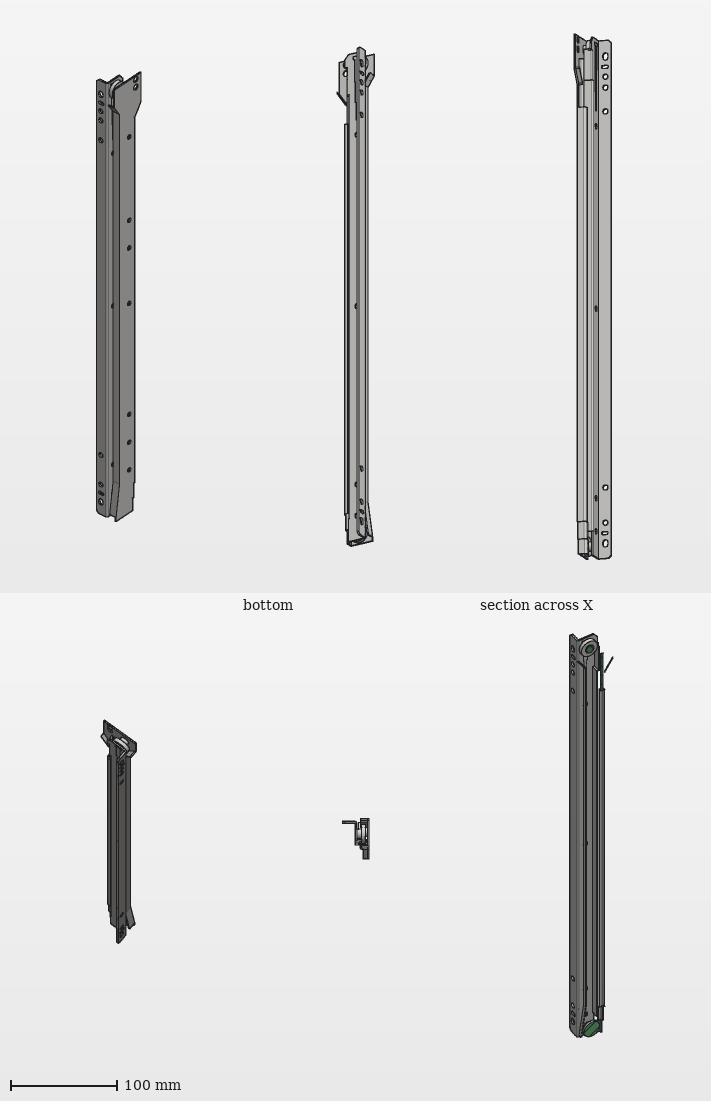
import cadquery as cq

LENGTH = 500.0
WIDTH = 25.0
BRACKET_TOP = 38.0
SHEET = 1.5

ROLLER_RADIUS = 9.0
FRONT_ROLLER_Y = 12.5
REAR_ROLLER_Y = 14.5
AXLE_RADIUS = 4.5
FRONT_ROLLER_Z = 490.0
REAR_ROLLER_Z = 10.0
FRONT_ROLLER_X = (15.0, 19.0)
REAR_ROLLER_X = (18.0, 21.5)

FLANGE_BOTTOM = 2.5
FLANGE_THICKNESS = 2.0
WEB_X = 12.0
FLANGE_BEND_RADIUS = 2.0
TRACK_BEND_RADIUS = 1.25
CORNER_CHAMFER = 2.5
TRACK_TOP = 21.0
TRACK_EDGE_X = 23.0
RAISED_TRACK_EDGE_X = 20.5
TRACK_REAR_Z = 23.5
TRACK_RAISE_Z = 460.0
TRACK_RAISE = 2.0
TRACK_FRONT_Z = 488.5
NOSE_TOP = 25.0
NOSE_FRONT_Z = 495.0
NOSE_EDGE_X = 15.5

FLANGE_HOLE_X = 5.5
FLANGE_HOLE_DIAMETER = 5.0
FLANGE_HOLE_Z = (465.0, 454.5, 431.5, 68.5, 34.5)
LONG_HOLE_LENGTH = 7.0
LONG_HOLE_Z = (484.5, 14.5)
CROSS_SLOT_X = 6.0
CROSS_SLOT_LENGTH = 6.5
CROSS_SLOT_WIDTH = 3.0
CROSS_SLOT_Z = (474.5, 24.5)

WEB_HOLE_DIAMETER = 5.0
WEB_HOLE_Y = 11.5
WEB_HOLE_Z = (416.0, 240.0, 57.0, 25.0)

GROOVE_DEPTH = 0.5
GROOVE_Y = 12.0
GROOVE_STEPS = ((431.0, 449.0, 1.5), (449.0, 470.5, 3.0), (470.5, 493.5, 4.5), (493.5, 496.5, 7.5))

CABINET_REAR_Z = 1.0
CABINET_BOTTOM = 7.0
FLOOR_EDGE_X = 17.0
FLOOR_FRONT_Z = 478.5
FLOOR_RAMP_Z = 468.0
REAR_SLOPE_Z = 41.5
FLOOR_REAR_Z = 5.5
REAR_DROP = 5.0

ROOF_TOP = 29.0
ROOF_EDGE_X = 16.5
ROOF_FRONT_Z = 431.5
ROOF_BEND_RADIUS = 2.0
LIP_HEIGHT = 4.5
ROOF_STEP = 1.5
ROOF_STEP_Z = (31.5, 15.0)
FRONT_ROOF_TOP = 28.0
FRONT_LIP_HEIGHT = 3.5
FRONT_ROOF_EDGE_X = 19.5
FRONT_ROOF_Z = 478.5

BRACKET_BOTTOM_Z = 466.5
BRACKET_FOOT_Z = 453.0
BRACKET_HOLE_DIAMETER = 6.0
BRACKET_HOLE_Y = 30.5
BRACKET_HOLE_Z = (496.0, 487.0)

CABINET_HOLE_DIAMETER = 4.5
CABINET_HOLE_Y = 21.0
FIRST_CABINET_HOLE_Z = 434.5
HOLE_PITCH = 32.0
CABINET_HOLE_STEPS = (0, 3, 4, 6, 10, 11, 12)


def block(x_range, y_range, z_range):
    """Axis-aligned box given by its limits along X, Y and Z."""
    size = [limits[1] - limits[0] for limits in (x_range, y_range, z_range)]
    corner = (x_range[0], y_range[0], z_range[0])
    return cq.Workplane("XY").box(*size, centered=False).translate(corner)


def plate(yz_points, x_range):
    """Plate with a YZ outline, filling x_range."""
    outline = cq.Workplane("YZ", origin=(x_range[0], 0, 0)).polyline(yz_points).close()
    return outline.extrude(x_range[1] - x_range[0])


def disc(y, z, radius, x_range):
    """Cylinder whose axis is parallel to X."""
    circle = cq.Workplane("YZ", origin=(x_range[0], y, z)).circle(radius)
    return circle.extrude(x_range[1] - x_range[0])


def cross_holes(y, z_places, diameter):
    """Round holes along X through the full width."""
    points = [(y, z) for z in z_places]
    return cq.Workplane("YZ").pushPoints(points).circle(diameter / 2).extrude(WIDTH)


def hole_places(x, z_places):
    """Centres of the flange holes on the XZ plane."""
    points = [(x, z) for z in z_places]
    return cq.Workplane("XZ").pushPoints(points)


def make_flange():
    y_range = (FLANGE_BOTTOM, FLANGE_BOTTOM + FLANGE_THICKNESS)
    flange = block((0, WEB_X + SHEET), y_range, (0, LENGTH))
    flange = flange.edges("|Y and <X").chamfer(CORNER_CHAMFER)
    depth = -2 * y_range[1]
    round_holes = hole_places(FLANGE_HOLE_X, FLANGE_HOLE_Z).circle(FLANGE_HOLE_DIAMETER / 2)
    flange = flange.cut(round_holes.extrude(depth))
    long_holes = hole_places(FLANGE_HOLE_X, LONG_HOLE_Z).slot2D(LONG_HOLE_LENGTH, FLANGE_HOLE_DIAMETER, 90)
    flange = flange.cut(long_holes.extrude(depth))
    cross_slots = hole_places(CROSS_SLOT_X, CROSS_SLOT_Z).slot2D(CROSS_SLOT_LENGTH, CROSS_SLOT_WIDTH)
    return flange.cut(cross_slots.extrude(depth))


def make_drawer_web():
    flange_top = FLANGE_BOTTOM + FLANGE_THICKNESS
    raised_top = TRACK_TOP + TRACK_RAISE
    outline = [
        (flange_top, 0),
        (TRACK_TOP, 0),
        (TRACK_TOP, TRACK_REAR_Z),
        (TRACK_TOP - SHEET, TRACK_REAR_Z),
        (TRACK_TOP - SHEET, TRACK_RAISE_Z),
        (raised_top - SHEET, TRACK_RAISE_Z),
        (raised_top - SHEET, TRACK_FRONT_Z),
        (NOSE_TOP, TRACK_FRONT_Z),
        (NOSE_TOP, NOSE_FRONT_Z),
        (TRACK_TOP, LENGTH),
        (flange_top, LENGTH),
    ]
    web = plate(outline, (WEB_X, WEB_X + SHEET))
    web = web.cut(cross_holes(WEB_HOLE_Y, WEB_HOLE_Z, WEB_HOLE_DIAMETER))
    for z_low, z_high, width in GROOVE_STEPS:
        y_range = (GROOVE_Y - width / 2, GROOVE_Y + width / 2)
        web = web.cut(block((WEB_X, WEB_X + GROOVE_DEPTH), y_range, (z_low, z_high)))
    return web


def make_track_length(y_range, edge_x, z_range):
    """Stretch of the rolling track, rounded where it bends out of the web."""
    length = block((WEB_X, edge_x), y_range, z_range)
    return length.edges("|Z and <X and >Y").fillet(TRACK_BEND_RADIUS)


def make_track():
    """Rolling track along the top of the web, raised and turned up at the front."""
    low = TRACK_TOP - SHEET
    raised_top = TRACK_TOP + TRACK_RAISE
    riser_z = (TRACK_RAISE_Z - SHEET, TRACK_RAISE_Z)
    rear = make_track_length((low, TRACK_TOP), TRACK_EDGE_X, (TRACK_REAR_Z, TRACK_RAISE_Z))
    riser = make_track_length((low, raised_top), TRACK_EDGE_X, riser_z)
    front_z = (TRACK_RAISE_Z, TRACK_FRONT_Z)
    front = make_track_length((raised_top - SHEET, raised_top), RAISED_TRACK_EDGE_X, front_z)
    nose_z = (TRACK_FRONT_Z - SHEET, TRACK_FRONT_Z)
    nose = block((WEB_X, NOSE_EDGE_X), (raised_top - SHEET, NOSE_TOP), nose_z)
    return rear.union(riser).union(front).union(nose)


def make_drawer_rail():
    rail = make_flange().union(make_drawer_web()).clean()
    outer_bend = cq.selectors.NearestToPointSelector((WEB_X + SHEET, FLANGE_BOTTOM, LENGTH / 2))
    rail = rail.edges("|Z").edges(outer_bend).fillet(FLANGE_BEND_RADIUS)
    rail = rail.union(make_track())
    axle_x = (WEB_X + SHEET, REAR_ROLLER_X[0])
    rail = rail.union(disc(REAR_ROLLER_Y, REAR_ROLLER_Z, AXLE_RADIUS, axle_x))
    return rail.union(disc(REAR_ROLLER_Y, REAR_ROLLER_Z, ROLLER_RADIUS, REAR_ROLLER_X))


def make_cabinet_web():
    """Wall plate with the raised mounting bracket and the lowered foot at the front."""
    outline = [
        (CABINET_BOTTOM - REAR_DROP, CABINET_REAR_Z),
        (ROOF_TOP - 2 * ROOF_STEP, CABINET_REAR_Z),
        (ROOF_TOP - 2 * ROOF_STEP, ROOF_STEP_Z[1]),
        (ROOF_TOP - ROOF_STEP, ROOF_STEP_Z[1]),
        (ROOF_TOP - ROOF_STEP, ROOF_STEP_Z[0]),
        (ROOF_TOP, ROOF_STEP_Z[0]),
        (ROOF_TOP, BRACKET_FOOT_Z),
        (BRACKET_TOP, BRACKET_BOTTOM_Z),
        (BRACKET_TOP, LENGTH),
        (0, LENGTH),
        (0, FLOOR_FRONT_Z),
        (CABINET_BOTTOM, FLOOR_RAMP_Z),
        (CABINET_BOTTOM, REAR_SLOPE_Z),
        (CABINET_BOTTOM - REAR_DROP, FLOOR_REAR_Z),
    ]
    web = plate(outline, (WIDTH - SHEET, WIDTH))
    web = web.cut(cross_holes(BRACKET_HOLE_Y, BRACKET_HOLE_Z, BRACKET_HOLE_DIAMETER))
    hole_z = [FIRST_CABINET_HOLE_Z - step * HOLE_PITCH for step in CABINET_HOLE_STEPS]
    return web.cut(cross_holes(CABINET_HOLE_Y, hole_z, CABINET_HOLE_DIAMETER))


def make_floor():
    """Bottom flange, ramped down at the front and sloping down at the rear."""
    underside = [
        (CABINET_BOTTOM - REAR_DROP, FLOOR_REAR_Z),
        (CABINET_BOTTOM, REAR_SLOPE_Z),
        (CABINET_BOTTOM, FLOOR_RAMP_Z),
        (0, FLOOR_FRONT_Z),
    ]
    top_side = [(y + SHEET, z) for y, z in reversed(underside)]
    return plate(underside + top_side, (FLOOR_EDGE_X, WIDTH))


def make_roof_length(top, edge_x, lip_height, z_range):
    """Stretch of the top flange with its rounded, down-turned lip."""
    roof = block((edge_x, WIDTH), (top - lip_height, top), z_range)
    roof = roof.edges("|Z and <X and >Y").fillet(ROOF_BEND_RADIUS)
    inner_radius = ROOF_BEND_RADIUS - SHEET
    hollow = block((edge_x + SHEET, WIDTH), (top - lip_height, top - SHEET), z_range)
    return roof.cut(hollow.edges("|Z and <X and >Y").fillet(inner_radius))


def make_roof():
    """Top flange: lower and narrower at the front, stepping down twice at the rear."""
    roof = make_roof_length(FRONT_ROOF_TOP, FRONT_ROOF_EDGE_X, FRONT_LIP_HEIGHT, (ROOF_FRONT_Z, FRONT_ROOF_Z))
    breaks = (ROOF_FRONT_Z, *ROOF_STEP_Z, CABINET_REAR_Z)
    for step in range(len(breaks) - 1):
        z_range = (breaks[step + 1], breaks[step])
        top = ROOF_TOP - step * ROOF_STEP
        roof = roof.union(make_roof_length(top, ROOF_EDGE_X, LIP_HEIGHT, z_range))
    return roof


def make_bracket_rim():
    """Stiffening rim along the bracket's slanted lower edge."""
    outline = [
        (ROOF_TOP, BRACKET_FOOT_Z),
        (BRACKET_TOP, BRACKET_BOTTOM_Z),
        (BRACKET_TOP, BRACKET_BOTTOM_Z + SHEET),
        (ROOF_TOP, BRACKET_FOOT_Z + SHEET),
    ]
    return plate(outline, (FRONT_ROOF_EDGE_X, WIDTH))


def make_cabinet_rail():
    rail = make_cabinet_web().union(make_floor()).union(make_roof()).union(make_bracket_rim())
    axle_x = (FRONT_ROLLER_X[1], WIDTH - SHEET)
    rail = rail.union(disc(FRONT_ROLLER_Y, FRONT_ROLLER_Z, AXLE_RADIUS, axle_x))
    return rail.union(disc(FRONT_ROLLER_Y, FRONT_ROLLER_Z, ROLLER_RADIUS, FRONT_ROLLER_X))


drawer_rail = make_drawer_rail()
cabinet_rail = make_cabinet_rail()
result = cq.Compound.makeCompound([drawer_rail.val(), cabinet_rail.val()])